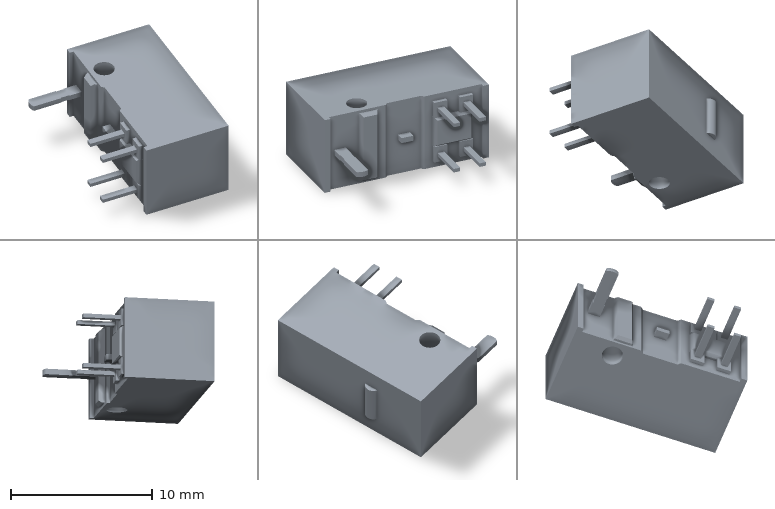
import cadquery as cq


LENGTH = 12.8
THICKNESS = 5.8
DEPTH = 6.46
FOOT_WIDTH = 0.45
FOOT_HEIGHT = 0.3
FLOOR_Y = -(DEPTH - FOOT_HEIGHT)

GROOVE_WIDTH = 3.02
GROOVE_FLOOR_WIDTH = 2.61
GROOVE_DEPTH = 0.19

HOLE_DIAMETER = 1.5
HOLE_X = -3.26
HOLE_Y = -5.07

STANDOFF_HEIGHT = 0.41
STANDOFF_SLOPE = 0.22
END_CHAMFER_RUN = 0.18
END_CHAMFER_RISE = 0.24

RIB_X = -2.88
RIB_WIDTH = 1.51
RIB_LENGTH = 5.38

BLOCK_X = 3.66
BLOCK_WIDTH = 3.1
BLOCK_LENGTH = 2.32

PIN_PITCH = 2.01
PIN_ROW_Z = 1.8
PIN_WIDTH = 0.5
PIN_THICKNESS = 0.28
PIN_TIP_Y = -9.16
PAD_WIDTH = 1.02
PAD_OUTER_Z = 2.38

TERMINAL_THICKNESS = 0.4
STUB_WIDTH = 0.93

BLADE_X = -5.08
BLADE_WIDTH = 0.9
BLADE_TIP_Y = -10.05
BLADE_TIP_BULGE = 0.13
BLADE_NECK_START_Y = -7.15
BLADE_NECK_END_Y = -7.77
BLADE_NECK_INSET = 0.05

BUTTON_X = -1.95
BUTTON_WIDTH = 1.08
BUTTON_HEIGHT = 0.35
BUTTON_LENGTH = 2.95


def box(x, width, y_start, y_end, z, thickness):
    """Block centred at x and z, spanning y_start to y_end."""
    return (
        cq.Workplane("XY")
        .box(width, abs(y_end - y_start), thickness)
        .translate((x, (y_start + y_end) / 2, z))
    )


def extrude_across(sketch, thickness):
    """Extrude an XY outline symmetrically about the middle plane."""
    return sketch.extrude(thickness / 2, both=True)


def make_shell():
    """Plain body with a foot at each end, a shallow groove between and a mounting hole."""
    foot_x = LENGTH / 2 - FOOT_WIDTH
    groove_y = FLOOR_Y + GROOVE_DEPTH
    outline = (
        cq.Workplane("XY")
        .moveTo(-LENGTH / 2, 0)
        .lineTo(-LENGTH / 2, -DEPTH)
        .lineTo(-foot_x, -DEPTH)
        .lineTo(-foot_x, FLOOR_Y)
        .lineTo(-GROOVE_WIDTH / 2, FLOOR_Y)
        .lineTo(-GROOVE_FLOOR_WIDTH / 2, groove_y)
        .lineTo(GROOVE_FLOOR_WIDTH / 2, groove_y)
        .lineTo(GROOVE_WIDTH / 2, FLOOR_Y)
        .lineTo(foot_x, FLOOR_Y)
        .lineTo(foot_x, -DEPTH)
        .lineTo(LENGTH / 2, -DEPTH)
        .lineTo(LENGTH / 2, 0)
        .close()
    )
    hole = cq.Workplane("XY").center(HOLE_X, HOLE_Y).circle(HOLE_DIAMETER / 2)
    return extrude_across(outline, THICKNESS).cut(extrude_across(hole, THICKNESS))


def make_standoff(x, width, length):
    """Raised block on the terminal side: the overlap of its XY and YZ outlines."""
    tip_y = FLOOR_Y - STANDOFF_HEIGHT
    tip_half_width = width / 2 - STANDOFF_SLOPE
    cross_outline = (
        cq.Workplane("XY")
        .moveTo(x - width / 2, FLOOR_Y)
        .lineTo(x - tip_half_width, tip_y)
        .lineTo(x + tip_half_width, tip_y)
        .lineTo(x + width / 2, FLOOR_Y)
        .close()
    )
    shoulder_y = tip_y + END_CHAMFER_RISE
    tip_half_length = length / 2 - END_CHAMFER_RUN
    end_outline = (
        cq.Workplane("YZ", origin=(x, 0, 0))
        .moveTo(FLOOR_Y, -length / 2)
        .lineTo(shoulder_y, -length / 2)
        .lineTo(tip_y, -tip_half_length)
        .lineTo(tip_y, tip_half_length)
        .lineTo(shoulder_y, length / 2)
        .lineTo(FLOOR_Y, length / 2)
        .close()
    )
    return extrude_across(cross_outline, length).intersect(extrude_across(end_outline, width))


def make_padded_pin(x, side):
    """Thin pin on its pad; side is +1 or -1 along Z. The pad meets the block."""
    pad_inner_z = BLOCK_LENGTH / 2
    pad_z = side * (PAD_OUTER_Z + pad_inner_z) / 2
    pad = box(x, PAD_WIDTH, FLOOR_Y, -DEPTH, pad_z, PAD_OUTER_Z - pad_inner_z)
    pin = box(x, PIN_WIDTH, FLOOR_Y, PIN_TIP_Y, side * PIN_ROW_Z, PIN_THICKNESS)
    return pad.union(pin)


def make_stub():
    """Short terminal end standing on the groove floor."""
    return box(
        0, STUB_WIDTH, FLOOR_Y + GROOVE_DEPTH, FLOOR_Y - STANDOFF_HEIGHT, 0, TERMINAL_THICKNESS
    )


def make_blade():
    """Long flat terminal with a shallow neck and a rounded tip."""
    half_width = BLADE_WIDTH / 2
    tip_corner_y = BLADE_TIP_Y + BLADE_TIP_BULGE
    outline = (
        cq.Workplane("XY")
        .moveTo(BLADE_X - half_width, FLOOR_Y)
        .lineTo(BLADE_X - half_width, tip_corner_y)
        .threePointArc((BLADE_X, BLADE_TIP_Y), (BLADE_X + half_width, tip_corner_y))
        .lineTo(BLADE_X + half_width, FLOOR_Y)
        .close()
    )
    blade = extrude_across(outline, TERMINAL_THICKNESS)
    for side in (-1, 1):
        notch = box(
            BLADE_X + side * half_width, 2 * BLADE_NECK_INSET,
            BLADE_NECK_START_Y, BLADE_NECK_END_Y, 0, TERMINAL_THICKNESS,
        )
        blade = blade.cut(notch)
    return blade


def make_housing():
    """Housing with its standoffs, pads and terminals as one solid."""
    housing = (
        make_shell()
        .union(make_standoff(RIB_X, RIB_WIDTH, RIB_LENGTH))
        .union(make_standoff(BLOCK_X, BLOCK_WIDTH, BLOCK_LENGTH))
        .union(make_stub())
        .union(make_blade())
    )
    for column in (-1, 1):
        for side in (-1, 1):
            housing = housing.union(make_padded_pin(BLOCK_X + column * PIN_PITCH / 2, side))
    return housing


def make_button():
    """Rounded button resting on the flat face of the housing."""
    outline = (
        cq.Workplane("XY")
        .moveTo(BUTTON_X - BUTTON_WIDTH / 2, 0)
        .threePointArc((BUTTON_X, BUTTON_HEIGHT), (BUTTON_X + BUTTON_WIDTH / 2, 0))
        .close()
    )
    return extrude_across(outline, BUTTON_LENGTH)


housing = make_housing()
button = make_button()

result = cq.Compound.makeCompound([housing.solids().val(), button.solids().val()])